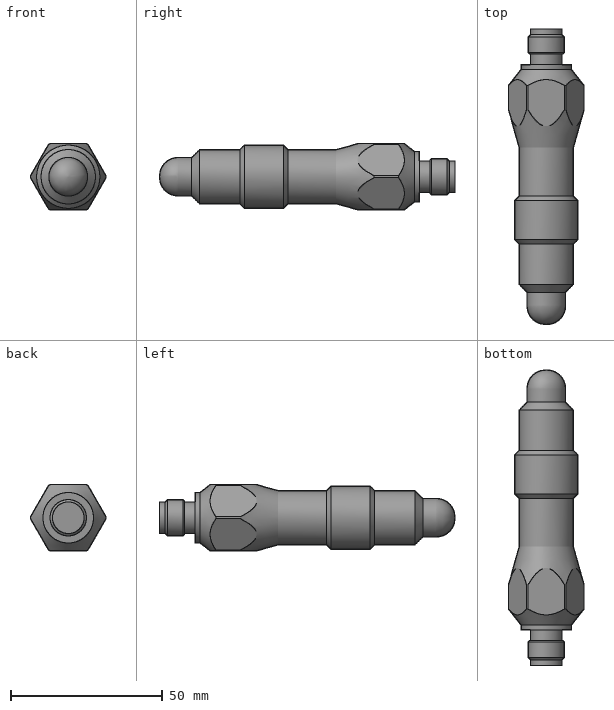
import cadquery as cq
import math

length = 97.75
hex_flats = 22.0
hex_corner_diameter = 25.0

tip_diameter = 12.8
body_diameter = 18.0
sleeve_diameter = 20.9
collar_diameter = 16.7
connector_diameter = 10.5
ring_diameter = 12.0

dome_radius = 6.2
tip_end = 10.7
body_start = 13.3
sleeve_start = 26.6
sleeve_end = 42.5
sleeve_chamfer = 1.5
body_end = 58.5
hex_start = 71.0
hex_end = 79.1
collar_start = 84.4
collar_end = 85.9
ring_start = 89.4
ring_end = 95.9
ring_front_chamfer = 0.5
ring_back_chamfer = (ring_diameter - connector_diameter) / 2


def turned_body():
    """Revolve the half profile, given as (radius, station), about the Y axis."""
    tip_r = tip_diameter / 2
    body_r = body_diameter / 2
    sleeve_r = sleeve_diameter / 2
    corner_r = hex_corner_diameter / 2
    collar_r = collar_diameter / 2
    connector_r = connector_diameter / 2
    ring_r = ring_diameter / 2
    tip_flat_r = tip_r - dome_radius
    arc_offset = dome_radius * math.sqrt(0.5)
    dome_middle = (tip_flat_r + arc_offset, dome_radius - arc_offset)
    return (
        cq.Workplane("XY")
        .lineTo(tip_flat_r, 0)
        .threePointArc(dome_middle, (tip_r, dome_radius))
        .lineTo(tip_r, tip_end)
        .lineTo(body_r, body_start)
        .lineTo(body_r, sleeve_start)
        .lineTo(sleeve_r, sleeve_start + sleeve_chamfer)
        .lineTo(sleeve_r, sleeve_end - sleeve_chamfer)
        .lineTo(body_r, sleeve_end)
        .lineTo(body_r, body_end)
        .lineTo(corner_r, hex_start)
        .lineTo(corner_r, hex_end)
        .lineTo(collar_r, collar_start)
        .lineTo(collar_r, collar_end)
        .lineTo(connector_r, collar_end)
        .lineTo(connector_r, ring_start)
        .lineTo(ring_r - ring_front_chamfer, ring_start)
        .lineTo(ring_r, ring_start + ring_front_chamfer)
        .lineTo(ring_r, ring_end - ring_back_chamfer)
        .lineTo(connector_r, ring_end)
        .lineTo(connector_r, length)
        .lineTo(0, length)
        .close()
        .revolve(360, (0, 0, 0), (0, 1, 0))
    )


def hexagonal_envelope():
    """Full-length hexagonal prism with two flats facing +Z and -Z."""
    across_corners = hex_flats / math.cos(math.radians(30))
    return cq.Workplane("XZ").polygon(6, across_corners).extrude(-length)


result = turned_body().intersect(hexagonal_envelope())